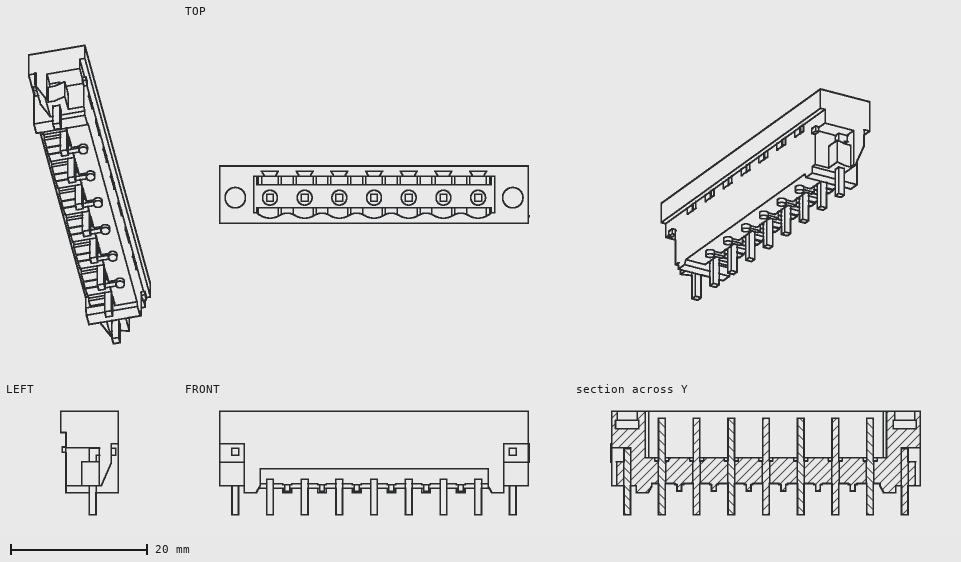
import cadquery as cq
import math


pitch = 5.1
contact_count = 7
pin_width = 1.0
pin_y = -0.45
pin_bottom = -15.2
contact_top = -1.0

length = 45.22
half_length = length / 2
half_depth = 4.2
back_y = 3.45
back_step_z = -3.15
foot_z = -11.98

cavity_half_length = 17.65
cavity_half_depth = 2.68
platform_z = -6.8
platform_front_y = -1.95
platform_back_y = 1.4
trough_z = -8.2
socket_radius = 1.1
socket_depth = 0.45

scallop_y = -3.45
scallop_radius = 2.7
cusp_radius = 2.05

hump_crest_z = -7.05
hump_half_width = 1.22
hump_base_half_width = 1.7
hump_radius = 1.8

slot_back_half_width = 1.22
slot_mouth_half_width = 0.85
slot_neck_y = 2.8
slot_bottom = -4.15

mount_radius = 1.5
mount_depth = 1.35
nut_width = 3.35
nut_length = 4.7
nut_bottom = -2.55

leg_outer_x = 19.0
leg_inner_x = 16.7
leg_chamfer_width = 0.55
leg_chamfer_height = 1.05
front_recess_top = -8.45
front_recess_depth = 0.7
underside_z = -10.6
groove_top = -10.0
skirt_z = -11.3
skirt_front_y = 0.15

peg_radius = 0.65
peg_y = 1.8
peg_rib_width = 0.73
peg_rib_front_y = -0.45
peg_rib_bottom = -11.7
peg_pad_bottom = -10.75

end_bottom = -10.95
fin_front_y = -3.2
fin_back_y = -1.45
fin_toe_y = -1.72
corner_top = -4.75
slope_top = -7.5
side_recess_top = -5.35
block_top = -7.4
block_back_y = 1.15
block_bend_y = -0.5
block_back_inset = 0.35
block_front_inset = 0.85
flare = 0.15

lug_width = 1.0
lug_back_y = 4.0
lug_top = -5.2
lug_bottom = -6.05

end_pin_top = -5.45
end_pin_front_y = -3.85

contact_xs = [(i - (contact_count - 1) / 2) * pitch for i in range(contact_count)]
peg_xs = [x + pitch / 2 for x in contact_xs[:-1]]
end_pin_x = (contact_count + 1) / 2 * pitch
pin_front_y = pin_y - pin_width / 2
pin_back_y = pin_y + pin_width / 2
recess_face_y = -half_depth + front_recess_depth
scallop_center_y = scallop_y + scallop_radius
scallop_half_width = math.sqrt(scallop_radius**2 - (cavity_half_depth + scallop_center_y) ** 2)
trough_half_length = contact_xs[-1] + scallop_half_width


def block(x_range, y_range, z_range):
    """Box between two limits along each axis."""
    (x0, x1), (y0, y1), (z0, z1) = x_range, y_range, z_range
    return cq.Workplane("XY").box(x1 - x0, y1 - y0, z1 - z0, centered=False).translate((x0, y0, z0))


def upright_prism(points, z_range):
    """Outline in X and Y, extruded between two heights."""
    z0, z1 = z_range
    return cq.Workplane("XY").workplane(offset=z0).polyline(points).close().extrude(z1 - z0)


def make_contact(x):
    half = pin_width / 2
    return block((x - half, x + half), (pin_front_y, pin_back_y), (pin_bottom, contact_top))


def make_end_pin(x):
    """L-shaped pin: a leg down through the board and an arm to the front."""
    under_arm = end_pin_top - pin_width
    outline = [
        (end_pin_front_y, end_pin_top),
        (pin_back_y, end_pin_top),
        (pin_back_y, pin_bottom),
        (pin_front_y, pin_bottom),
        (pin_front_y, under_arm),
        (end_pin_front_y, under_arm),
    ]
    profile = cq.Workplane("YZ").workplane(offset=x - pin_width / 2).polyline(outline).close()
    return profile.extrude(pin_width)


def make_body():
    """Outer block, narrower at the back below the step."""
    outline = [
        (-half_depth, 0),
        (half_depth, 0),
        (half_depth, back_step_z),
        (back_y, back_step_z),
        (back_y, foot_z),
        (-half_depth, foot_z),
    ]
    profile = cq.Workplane("YZ").workplane(offset=-half_length).polyline(outline).close()
    return profile.extrude(length)


def cut_cavity(body):
    """Well down to the platform, scalloped in front, with ridged troughs and round pin sockets."""
    well = block(
        (-cavity_half_length, cavity_half_length), (-cavity_half_depth, cavity_half_depth), (platform_z, 0)
    )
    scallops = make_scallops()
    trough_x = (-trough_half_length, trough_half_length)
    back_trough = block(trough_x, (platform_back_y, cavity_half_depth), (trough_z, platform_z))
    front_trough = block(trough_x, (-cavity_half_depth, platform_front_y), (trough_z, platform_z))
    body = body.cut(well).cut(scallops).cut(back_trough).cut(front_trough)
    for x in contact_xs:
        body = body.union(make_hump(x, platform_back_y, cavity_half_depth))
        body = body.union(make_hump(x, scallop_y, platform_front_y))
        socket = cq.Workplane("XY", origin=(x, pin_y, platform_z)).circle(socket_radius)
        body = body.cut(socket.extrude(-socket_depth))
    return body


def make_scallops():
    """Wavy strip along the front of the cavity: concave arcs joined by tangent convex cusps."""
    reach = scallop_radius + cusp_radius
    cusp_center_y = scallop_center_y - math.sqrt(reach**2 - (pitch / 2) ** 2)
    joint = scallop_radius / reach
    joint_dx = pitch / 2 * joint
    joint_y = scallop_center_y + (cusp_center_y - scallop_center_y) * joint
    wave = cq.Workplane("XY").workplane(offset=trough_z)
    wave = wave.moveTo(-trough_half_length, -cavity_half_depth)
    for x in contact_xs[:-1]:
        wave = wave.threePointArc((x, scallop_y), (x + joint_dx, joint_y))
        wave = wave.threePointArc(
            (x + pitch / 2, cusp_center_y + cusp_radius), (x + pitch - joint_dx, joint_y)
        )
    wave = wave.threePointArc((contact_xs[-1], scallop_y), (trough_half_length, -cavity_half_depth))
    wave = wave.lineTo(trough_half_length, platform_front_y)
    wave = wave.lineTo(-trough_half_length, platform_front_y).close()
    return wave.extrude(-trough_z)


def make_hump(x, y_start, y_end):
    """Rounded ridge along Y with steep flanks, standing on the trough floor."""
    shoulder_z = hump_crest_z - hump_radius + math.sqrt(hump_radius**2 - hump_half_width**2)
    profile = (
        cq.Workplane("XZ", origin=(x, y_end, 0))
        .moveTo(-hump_base_half_width, trough_z)
        .lineTo(-hump_half_width, shoulder_z)
        .threePointArc((0, hump_crest_z), (hump_half_width, shoulder_z))
        .lineTo(hump_base_half_width, trough_z)
        .close()
    )
    return profile.extrude(y_end - y_start)


def make_slot(x):
    """Dovetail slot in the back wall, open to the rear below the step."""
    outline = [
        (x - slot_mouth_half_width, cavity_half_depth),
        (x - slot_mouth_half_width, slot_neck_y),
        (x - slot_back_half_width, back_y),
        (x + slot_back_half_width, back_y),
        (x + slot_mouth_half_width, slot_neck_y),
        (x + slot_mouth_half_width, cavity_half_depth),
    ]
    return upright_prism(outline, (slot_bottom, 0))


def make_mount_hole(x):
    """Round hole from the top into a wider nut pocket."""
    hole = cq.Workplane("XY", origin=(x, pin_y, 0)).circle(mount_radius).extrude(-mount_depth)
    pocket = (
        cq.Workplane("XY", origin=(x, pin_y, -mount_depth))
        .rect(nut_width, nut_length)
        .extrude(nut_bottom + mount_depth)
    )
    return hole.union(pocket)


def cut_underside(body):
    """Space between the two legs: front recess, flat underside, lower rear skirt and pin grooves."""
    chamfer_top = foot_z + leg_chamfer_height
    foot_x = leg_inner_x + leg_chamfer_width
    gap_outline = [
        (-foot_x, foot_z),
        (-leg_inner_x, chamfer_top),
        (-leg_inner_x, underside_z),
        (leg_inner_x, underside_z),
        (leg_inner_x, chamfer_top),
        (foot_x, foot_z),
    ]
    gap = cq.Workplane("XZ", origin=(0, back_y, 0)).polyline(gap_outline).close().extrude(back_y + half_depth)
    skirt = block((-foot_x, foot_x), (skirt_front_y, back_y), (skirt_z, underside_z))
    recess = block(
        (-leg_inner_x, leg_inner_x), (-half_depth, recess_face_y), (underside_z, front_recess_top)
    )
    body = body.cut(gap.cut(skirt)).cut(recess)
    half = pin_width / 2
    for x in contact_xs:
        body = body.cut(block((x - half, x + half), (recess_face_y, pin_front_y), (underside_z, groove_top)))
    return body


def make_peg(x):
    """Round stand-off peg with a thin rib toward the front and a flat pad up to the front wall."""
    peg = cq.Workplane("XY", origin=(x, peg_y, foot_z)).circle(peg_radius).extrude(underside_z - foot_z)
    half = peg_rib_width / 2
    rib = block((x - half, x + half), (peg_rib_front_y, peg_y), (peg_rib_bottom, underside_z))
    pad = block(
        (x - peg_radius, x + peg_radius), (recess_face_y, skirt_front_y), (peg_pad_bottom, underside_z)
    )
    return peg.union(rib).union(pad)


def make_end_cutter():
    """Material removed at the +X end: below the end, the front corner and the side recess."""
    end_x = (leg_outer_x, half_length)
    below = block(end_x, (-half_depth, back_y), (foot_z, end_bottom))
    corner_outline = [
        (-half_depth, corner_top),
        (fin_front_y, corner_top),
        (fin_front_y, slope_top),
        (fin_toe_y, end_bottom),
        (-half_depth, end_bottom),
    ]
    corner = cq.Workplane("YZ").workplane(offset=leg_outer_x).polyline(corner_outline).close()
    corner = corner.extrude(half_length - leg_outer_x)
    recess_floor_x = end_pin_x - pin_width / 2
    recess = block((recess_floor_x, half_length), (fin_back_y, back_y), (end_bottom, side_recess_top))
    block_outline = [
        (recess_floor_x, fin_back_y),
        (half_length - block_front_inset, fin_back_y),
        (half_length - block_front_inset, block_bend_y),
        (half_length - block_back_inset, block_back_y),
        (recess_floor_x, block_back_y),
    ]
    pin_block = upright_prism(block_outline, (end_bottom, block_top))
    return below.union(corner).union(recess.cut(pin_block))


def make_lug(x):
    half = lug_width / 2
    return block((x - half, x + half), (back_y, lug_back_y), (lug_bottom, lug_top))


def make_housing(inserts):
    """Whole housing, with a matching hole for every pin."""
    body = cut_underside(cut_cavity(make_body()))
    for x in contact_xs:
        body = body.cut(make_slot(x))
    for x in peg_xs:
        body = body.union(make_peg(x))
    right_cutter = make_end_cutter()
    body = body.cut(right_cutter).cut(right_cutter.mirror("YZ"))
    for x in (-end_pin_x, end_pin_x):
        body = body.cut(make_mount_hole(x)).union(make_lug(x))
    flare_lip = block(
        (half_length, half_length + flare), (fin_front_y, fin_front_y + flare), (slope_top, corner_top)
    )
    body = body.union(flare_lip)
    for insert in inserts:
        body = body.cut(insert)
    return body.solids()


contacts = [make_contact(x) for x in contact_xs]
end_pins = [make_end_pin(x) for x in (-end_pin_x, end_pin_x)]
housing = make_housing(contacts + end_pins)

result = cq.Compound.makeCompound([housing.val(), *[pin.val() for pin in contacts + end_pins]])